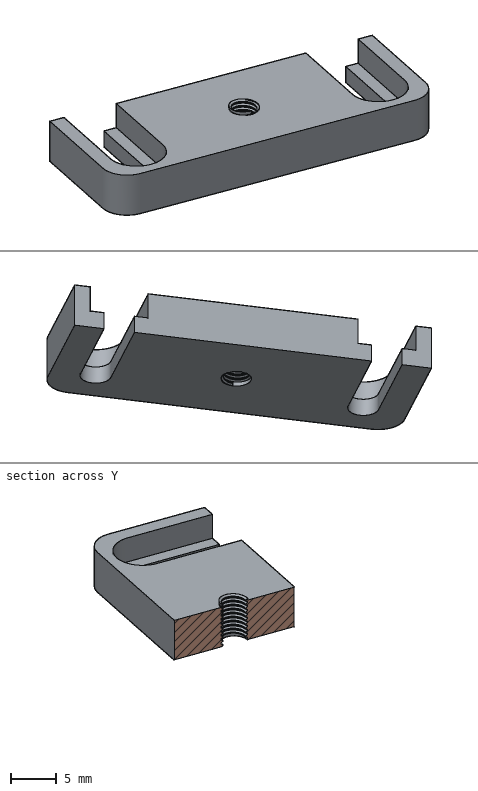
import cadquery as cq

plate_length = 40.0
plate_width = 15.0
plate_thickness = 5.0
corner_radius = 3.0

slot_spacing = 30.0
slot_reach = 10.5
slot_width = 3.4
recess_width = 6.5
ledge_thickness = 2.0

thread_turns = 10
thread_pitch = plate_thickness / thread_turns
thread_major_radius = 1.7
thread_minor_radius = 1.4
thread_root_width = 0.45
thread_crest_width = thread_pitch / 4
thread_embed = 0.05
hole_radius = thread_major_radius - thread_embed


def make_plate():
    """Plate with its two +X corners rounded."""
    plate = cq.Workplane("XY").box(
        plate_width, plate_length, plate_thickness, centered=(True, True, False)
    )
    return plate.edges("|Z and >X").fillet(corner_radius)


def open_slot(width, floor, center_y):
    """Cutter for a round-ended slot, from the floor up to the plate's top."""
    height = plate_thickness - floor
    open_x = -plate_width / 2
    end_x = open_x + slot_reach
    radius = width / 2
    return (
        cq.Workplane("XY", origin=(0, center_y, floor))
        .moveTo(open_x, -radius)
        .lineTo(end_x, -radius)
        .threePointArc((end_x + radius, 0), (end_x, radius))
        .lineTo(open_x, radius)
        .close()
        .extrude(height)
    )


def make_thread():
    """Right-handed ridge whose last turn runs out above the plate's top."""
    crest_bottom = (thread_root_width - thread_crest_width) / 2
    crest_top = crest_bottom + thread_crest_width
    path = cq.Wire.makeHelix(thread_pitch, plate_thickness, thread_major_radius)
    profile = cq.Workplane("XZ").polyline([
        (thread_major_radius, 0),
        (thread_minor_radius, crest_bottom),
        (thread_minor_radius, crest_top),
        (thread_major_radius, thread_root_width),
    ]).close()
    return profile.sweep(path, isFrenet=True)


result = make_plate()

for slot_y in (-slot_spacing / 2, slot_spacing / 2):
    result = result.cut(open_slot(slot_width, 0, slot_y))
    result = result.cut(open_slot(recess_width, ledge_thickness, slot_y))

hole_seam_angle = 90
join_tolerance = 0.001
hole = cq.Workplane("XY").circle(hole_radius).extrude(plate_thickness)
hole = hole.rotate((0, 0, 0), (0, 0, 1), hole_seam_angle)
result = result.cut(hole).union(make_thread(), tol=join_tolerance)